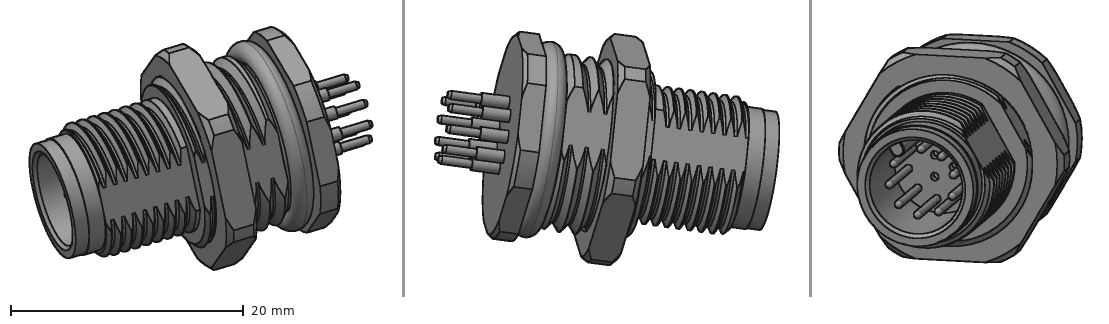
import cadquery as cq
import math


FLANGE_ACROSS_FLATS = 17.0
FLANGE_CORNER_DIAMETER = 18.0
FLANGE_THICKNESS = 2.0
FLANGE_CHAMFER = 0.36
RING_SECTION = 1.95
RING_OUTER_DIAMETER = 17.0
RING_GAP = 0.12
RING_DEPTH = RING_GAP + RING_SECTION / 2
NECK_DIAMETER = 13.2

PANEL_START = 2.2
PANEL_END = 10.0
PANEL_DIAMETER = 15.3
PANEL_PITCH = 1.41
PANEL_THREAD_DEPTH = 0.72
PANEL_CREST = 0.04
PANEL_ROOT = 0.2
PANEL_FLATS = 13.5
PANEL_CHAMFER = 0.55

COUPLING_END = 18.52
COUPLING_DIAMETER = 12.0
COUPLING_PITCH = 1.0
COUPLING_THREAD_DEPTH = 0.54
COUPLING_CREST = COUPLING_PITCH / 8
COUPLING_ROOT = COUPLING_PITCH / 4
COUPLING_FLATS = 10.5
COUPLING_CHAMFER = 0.5

FLAT_ANGLE = 30.0
GROOVE_START_ANGLE = FLAT_ANGLE + 180.0
GROOVE_OVERSHOOT = 0.02

SHELL_END = 21.25
SHELL_DIAMETER = 10.48
SHELL_TIP_LENGTH = 1.25
SHELL_TIP_DIAMETER = 10.3
BORE_DIAMETER = 8.25
BORE_DEPTH = 9.0
BORE_CHAMFER = 0.32

KEY_ANGLE = 120.4
KEY_WIDTH = 1.2
KEY_ROUND_CENTER = 3.54
KEY_RECESS = 0.8
KEY_CHAMFER = 0.1

CONTACT_COUNT = 9
CONTACT_CIRCLE_RADIUS = 2.91
KEY_GAP_ANGLE = 58.0
CONTACT_STEP_ANGLE = (360.0 - KEY_GAP_ANGLE) / (CONTACT_COUNT - 1)
PIN_DIAMETER = 0.7
PIN_TIP_RECESS = 2.0
SLEEVE_DIAMETER = 1.12
SLEEVE_LENGTH = 2.42
TAIL_DIAMETER = 0.75
TAIL_LENGTH = 5.35
TAIL_CHAMFER_LENGTH = 0.28
TAIL_CHAMFER_WIDTH = 0.12

EMPTY_COUNT = 3
EMPTY_CIRCLE_RADIUS = 1.1
EMPTY_DEPTH = 1.0

NUT_ACROSS_FLATS = 18.0
NUT_CORNER_DIAMETER = 20.0
NUT_START = 6.18
NUT_THICKNESS = 2.85
NUT_CHAMFER = 0.5
NUT_BORE_DIAMETER = 14.6


def plane_at(depth):
    """Workplane across the axis: local x is X, local y is Z, extrusions go toward -Y."""
    return cq.Workplane("XZ", origin=(0, -depth, 0))


def cylinder(diameter, start, end):
    return plane_at(start).circle(diameter / 2).extrude(end - start)


def hexagon(across_flats, start, thickness):
    corner_to_corner = across_flats / math.cos(math.radians(30))
    return plane_at(start).polygon(6, corner_to_corner).extrude(thickness)


def circle_point(radius, angle):
    return (radius * math.cos(math.radians(angle)), radius * math.sin(math.radians(angle)))


def thread_groove(diameter, pitch, groove_depth, crest, root, start, end):
    """Right-handed helical cutter of trapezoid section, starting over a flat and running past the end."""
    root_radius = diameter / 2 - groove_depth
    outer_radius = diameter / 2 + GROOVE_OVERSHOOT
    half_mouth = (pitch - crest) / 2
    half_root = root / 2
    flank_slope = (half_mouth - half_root) / groove_depth
    half_outer = half_mouth + GROOVE_OVERSHOOT * flank_slope
    section = [
        (root_radius, -half_root),
        (outer_radius, -half_outer),
        (outer_radius, half_outer),
        (root_radius, half_root),
    ]

    def half_turns_on(shape, count):
        turned = shape.rotate(cq.Vector(0, 0, 0), cq.Vector(0, 0, 1), 180 * count)
        return turned.translate(cq.Vector(0, 0, pitch / 2 * count))

    edges = [
        cq.Wire.makeHelix(pitch, pitch / 2, radius).translate(cq.Vector(0, 0, height))
        for radius, height in section
    ]
    next_edges = edges[1:] + edges[:1]
    sides = [cq.Face.makeRuledSurface(edge, next_edge) for edge, next_edge in zip(edges, next_edges)]
    corners = [cq.Vector(radius, 0, height) for radius, height in section]
    cap = cq.Face.makeFromWires(cq.Wire.makePolygon(corners, close=True))

    half_turn_count = 2 * math.ceil((end - start) / pitch)
    faces = [cap, half_turns_on(cap, half_turn_count)]
    for index in range(half_turn_count):
        faces += [half_turns_on(side, index) for side in sides]
    groove = cq.Workplane(cq.Solid.makeSolid(cq.Shell.makeShell(faces)))
    groove = groove.rotate((0, 0, 0), (0, 0, 1), GROOVE_START_ANGLE)
    groove = groove.translate((0, 0, start + half_mouth))
    return groove.rotate((0, 0, 0), (1, 0, 0), 90)


def cut_flats(body, across_flats, start, end):
    slab = plane_at(start).rect(across_flats, 2 * across_flats).extrude(end - start)
    return body.intersect(slab.rotate((0, 0, 0), (0, 1, 0), -FLAT_ANGLE))


def make_flange():
    corners = cylinder(FLANGE_CORNER_DIAMETER, -FLANGE_THICKNESS, 0).faces(">Y").chamfer(FLANGE_CHAMFER)
    flange = hexagon(FLANGE_ACROSS_FLATS, -FLANGE_THICKNESS, FLANGE_THICKNESS).intersect(corners)
    return flange.union(cylinder(NECK_DIAMETER, -FLANGE_THICKNESS / 2, PANEL_START))


def make_ring():
    section_center = (RING_OUTER_DIAMETER - RING_SECTION) / 2
    section = cq.Workplane("XY").center(section_center, -RING_DEPTH).circle(RING_SECTION / 2)
    return section.revolve(360, (-section_center, 0, 0), (-section_center, 1, 0))


def make_panel_groove():
    return thread_groove(
        PANEL_DIAMETER, PANEL_PITCH, PANEL_THREAD_DEPTH, PANEL_CREST, PANEL_ROOT, PANEL_START, PANEL_END
    )


def make_panel_thread():
    blank = cylinder(PANEL_DIAMETER, PANEL_START, PANEL_END).faces("<Y or >Y").chamfer(PANEL_CHAMFER)
    return cut_flats(blank, PANEL_FLATS, PANEL_START, PANEL_END).cut(make_panel_groove())


def make_coupling_thread():
    blank = cylinder(COUPLING_DIAMETER, PANEL_END, COUPLING_END).faces("<Y").chamfer(COUPLING_CHAMFER)
    groove = thread_groove(
        COUPLING_DIAMETER, COUPLING_PITCH, COUPLING_THREAD_DEPTH, COUPLING_CREST, COUPLING_ROOT,
        PANEL_END, COUPLING_END,
    )
    return cut_flats(blank, COUPLING_FLATS, PANEL_END, COUPLING_END).cut(groove)


def make_shell():
    tip_start = SHELL_END - SHELL_TIP_LENGTH
    return cylinder(SHELL_DIAMETER, COUPLING_END, tip_start).union(
        cylinder(SHELL_TIP_DIAMETER, tip_start, SHELL_END)
    )


def make_bore():
    bore = cylinder(BORE_DIAMETER, SHELL_END - BORE_DEPTH, SHELL_END)
    lip_radius = BORE_DIAMETER / 2 + BORE_CHAMFER
    lip = plane_at(SHELL_END).circle(lip_radius).extrude(-BORE_CHAMFER, taper=45)
    return bore.union(lip)


def make_key():
    """Rib along the bore wall with a round inner edge, embedded in the wall on its outer side."""
    start = SHELL_END - BORE_DEPTH
    end = SHELL_END - KEY_RECESS
    wall_radius = (BORE_DIAMETER / 2 + SHELL_TIP_DIAMETER / 2) / 2
    half_width = KEY_WIDTH / 2
    rib = (
        plane_at(start)
        .moveTo(wall_radius, -half_width)
        .lineTo(KEY_ROUND_CENTER, -half_width)
        .threePointArc((KEY_ROUND_CENTER - half_width, 0), (KEY_ROUND_CENTER, half_width))
        .lineTo(wall_radius, half_width)
        .close()
        .extrude(end - start)
        .faces("<Y")
        .chamfer(KEY_CHAMFER)
    )
    return rib.rotate((0, 0, 0), (0, 1, 0), -KEY_ANGLE)


def make_contact(angle):
    """Dome-ended pin in the bore, with a sleeve and a solder tail behind the flange."""
    x, z = circle_point(CONTACT_CIRCLE_RADIUS, angle)
    middle = -FLANGE_THICKNESS / 2
    pin_radius = PIN_DIAMETER / 2
    back = -FLANGE_THICKNESS
    tip = SHELL_END - PIN_TIP_RECESS
    pin = cylinder(PIN_DIAMETER, middle, tip - pin_radius)
    dome = cq.Workplane("XY").sphere(pin_radius).translate((0, pin_radius - tip, 0))
    sleeve = cylinder(SLEEVE_DIAMETER, back - SLEEVE_LENGTH, middle)
    tail = cylinder(TAIL_DIAMETER, back - TAIL_LENGTH, middle)
    tail = tail.faces(">Y").chamfer(TAIL_CHAMFER_LENGTH, TAIL_CHAMFER_WIDTH)
    return pin.union(dome).union(sleeve).union(tail).translate((x, 0, z))


def make_empty_position(angle):
    floor = SHELL_END - BORE_DEPTH
    x, z = circle_point(EMPTY_CIRCLE_RADIUS, angle)
    return cylinder(PIN_DIAMETER, floor - EMPTY_DEPTH, floor).translate((x, 0, z))


def make_connector():
    body = make_flange().val().fuse(
        make_ring().val(), make_panel_thread().val(), make_coupling_thread().val(), make_shell().val()
    )
    empty_positions = [make_empty_position(index * 360 / EMPTY_COUNT).val() for index in range(EMPTY_COUNT)]
    hollow_body = body.cut(make_bore().val(), *empty_positions)
    first_angle = KEY_ANGLE + KEY_GAP_ANGLE / 2
    contacts = [
        make_contact(first_angle + index * CONTACT_STEP_ANGLE).val() for index in range(CONTACT_COUNT)
    ]
    return cq.Workplane(hollow_body.fuse(make_key().val(), *contacts)).solids()


def make_nut():
    nut_end = NUT_START + NUT_THICKNESS
    corners = cylinder(NUT_CORNER_DIAMETER, NUT_START, nut_end).faces("<Y or >Y").chamfer(NUT_CHAMFER)
    nut = hexagon(NUT_ACROSS_FLATS, NUT_START, NUT_THICKNESS).intersect(corners)
    mating_rod = cylinder(PANEL_DIAMETER, PANEL_START, PANEL_END).cut(make_panel_groove())
    return nut.cut(cylinder(NUT_BORE_DIAMETER, NUT_START, nut_end)).cut(mating_rod)


connector = make_connector()
nut = make_nut()
result = cq.Compound.makeCompound([connector.val(), nut.val()])